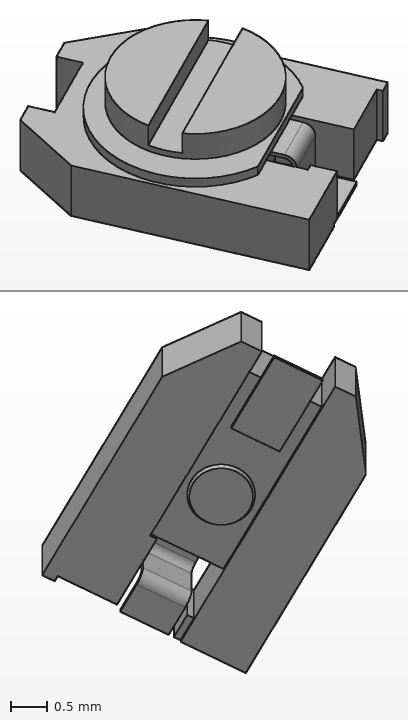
import cadquery as cq

LENGTH = 4.5
WIDTH = 3.2
HOUSING_HEIGHT = 0.9
CORNER_LENGTH = 1.0
CORNER_WIDTH = 0.7
SLOT_HALF_WIDTH = 0.575
END_SLOT_DEPTH = 0.39
NARROW_HALF_WIDTH = 0.47
LIP_LENGTH = 0.39
EAR_WIDTH = 0.2
EAR_LENGTH = 0.09
LEAD_SLOT_START = 1.0
CHANNEL_EXIT_DEPTH = 0.045

SHEET = 0.06
TERMINAL_WIDTH = 0.76
STATOR_TERMINAL_LENGTH = 1.25
BEND_START = 1.44
INNER_BEND_RADIUS = 0.125
LEAD_END = 2.235
LEAD_TOP = HOUSING_HEIGHT

DISC_RADIUS = 1.55
DISC_FLAT = 1.25
DISC_HEIGHT = 0.15
NECK_RADIUS = 1.1
NECK_HEIGHT = 0.1
HEAD_RADIUS = 1.25
HEAD_HEIGHT = 0.45
SCREW_SLOT_WIDTH = 0.5
SCREW_SLOT_DEPTH = 0.35

TAIL_TOP_RADIUS = 0.47
TAIL_BOTTOM_RADIUS = 0.44

HALF_LENGTH = LENGTH / 2
HALF_WIDTH = WIDTH / 2
DISC_TOP = HOUSING_HEIGHT + DISC_HEIGHT
HEAD_BOTTOM = DISC_TOP + NECK_HEIGHT
HEAD_TOP = HEAD_BOTTOM + HEAD_HEIGHT


def box_between(x, y, z):
    """Box spanning the given (low, high) range along each axis."""
    return (
        cq.Workplane("XY")
        .box(x[1] - x[0], y[1] - y[0], z[1] - z[0], centered=False)
        .translate((x[0], y[0], z[0]))
    )


def make_housing():
    end_slot_floor = -HALF_LENGTH + END_SLOT_DEPTH
    prong_edge = HALF_WIDTH - CORNER_WIDTH
    shoulder = -HALF_LENGTH + CORNER_LENGTH
    lip_start = HALF_LENGTH - LIP_LENGTH
    ear_start = HALF_LENGTH - EAR_LENGTH
    outline = [
        (-HALF_LENGTH, -prong_edge),
        (shoulder, -HALF_WIDTH),
        (HALF_LENGTH, -HALF_WIDTH),
        (HALF_LENGTH, -NARROW_HALF_WIDTH),
        (lip_start, -NARROW_HALF_WIDTH),
        (lip_start, -SLOT_HALF_WIDTH),
        (LEAD_SLOT_START, -SLOT_HALF_WIDTH),
        (LEAD_SLOT_START, NARROW_HALF_WIDTH),
        (ear_start, NARROW_HALF_WIDTH),
        (ear_start, HALF_WIDTH - EAR_WIDTH),
        (HALF_LENGTH, HALF_WIDTH - EAR_WIDTH),
        (HALF_LENGTH, HALF_WIDTH),
        (shoulder, HALF_WIDTH),
        (-HALF_LENGTH, prong_edge),
        (-HALF_LENGTH, SLOT_HALF_WIDTH),
        (end_slot_floor, SLOT_HALF_WIDTH),
        (end_slot_floor, -SLOT_HALF_WIDTH),
        (-HALF_LENGTH, -SLOT_HALF_WIDTH),
    ]
    block = cq.Workplane("XY").polyline(outline).close().extrude(HOUSING_HEIGHT)

    channel = box_between(
        (-HALF_LENGTH, LEAD_SLOT_START), (-SLOT_HALF_WIDTH, SLOT_HALF_WIDTH), (0, SHEET)
    )
    channel_exit = box_between(
        (LEAD_SLOT_START, HALF_LENGTH),
        (-SLOT_HALF_WIDTH, NARROW_HALF_WIDTH),
        (0, CHANNEL_EXIT_DEPTH),
    )
    return block.cut(channel).cut(channel_exit)


def make_stator_terminal():
    """Flat tab lying in the underside channel and reaching the -X end."""
    half_width = TERMINAL_WIDTH / 2
    x_range = (-HALF_LENGTH, -HALF_LENGTH + STATOR_TERMINAL_LENGTH)
    return box_between(x_range, (-half_width, half_width), (0, SHEET))


def make_rotor_terminal():
    """Z-shaped strip: under the disc, down through two right-angle bends, out along the base."""
    outer_radius = INNER_BEND_RADIUS + SHEET
    wall_outside = BEND_START + outer_radius
    wall_inside = wall_outside - SHEET
    foot_start = wall_outside + INNER_BEND_RADIUS
    upper_bend_z = LEAD_TOP - outer_radius
    lower_bend_z = outer_radius
    profile = (
        cq.Workplane("XZ")
        .moveTo(LEAD_SLOT_START, LEAD_TOP)
        .lineTo(BEND_START, LEAD_TOP)
        .radiusArc((wall_outside, upper_bend_z), outer_radius)
        .lineTo(wall_outside, lower_bend_z)
        .radiusArc((foot_start, SHEET), -INNER_BEND_RADIUS)
        .lineTo(LEAD_END, SHEET)
        .lineTo(LEAD_END, 0)
        .lineTo(foot_start, 0)
        .radiusArc((wall_inside, lower_bend_z), outer_radius)
        .lineTo(wall_inside, upper_bend_z)
        .radiusArc((BEND_START, LEAD_TOP - SHEET), -INNER_BEND_RADIUS)
        .lineTo(LEAD_SLOT_START, LEAD_TOP - SHEET)
        .close()
    )
    return profile.extrude(TERMINAL_WIDTH / 2, both=True)


def make_disc():
    """Rotor disc on top of the housing, with one flat facing +X."""
    disc = cq.Workplane("XY").workplane(offset=HOUSING_HEIGHT).circle(DISC_RADIUS).extrude(DISC_HEIGHT)
    beyond_flat = box_between(
        (DISC_FLAT, DISC_RADIUS), (-DISC_RADIUS, DISC_RADIUS), (HOUSING_HEIGHT, DISC_TOP)
    )
    return disc.cut(beyond_flat)


def make_screw():
    """Round head on a narrower neck, with a screwdriver slot along Y."""
    neck = cq.Workplane("XY").workplane(offset=DISC_TOP).circle(NECK_RADIUS).extrude(NECK_HEIGHT)
    head = cq.Workplane("XY").workplane(offset=HEAD_BOTTOM).circle(HEAD_RADIUS).extrude(HEAD_HEIGHT)
    half_slot = SCREW_SLOT_WIDTH / 2
    slot = box_between(
        (-half_slot, half_slot), (-HEAD_RADIUS, HEAD_RADIUS), (HEAD_TOP - SCREW_SLOT_DEPTH, HEAD_TOP)
    )
    return neck.union(head).cut(slot)


def make_rivet_tail():
    """Tapered round tail in the underside channel, on the rotor axis."""
    return (
        cq.Workplane("XY")
        .circle(TAIL_BOTTOM_RADIUS)
        .workplane(offset=SHEET)
        .circle(TAIL_TOP_RADIUS)
        .loft(ruled=True)
    )


housing = make_housing()
stator_terminal = make_stator_terminal()
rotor_terminal = make_rotor_terminal()
disc = make_disc()
screw = make_screw()
rivet_tail = make_rivet_tail()

result = cq.Compound.makeCompound(
    [
        housing.val(),
        stator_terminal.val(),
        rotor_terminal.val(),
        disc.val(),
        screw.val(),
        rivet_tail.val(),
    ]
)